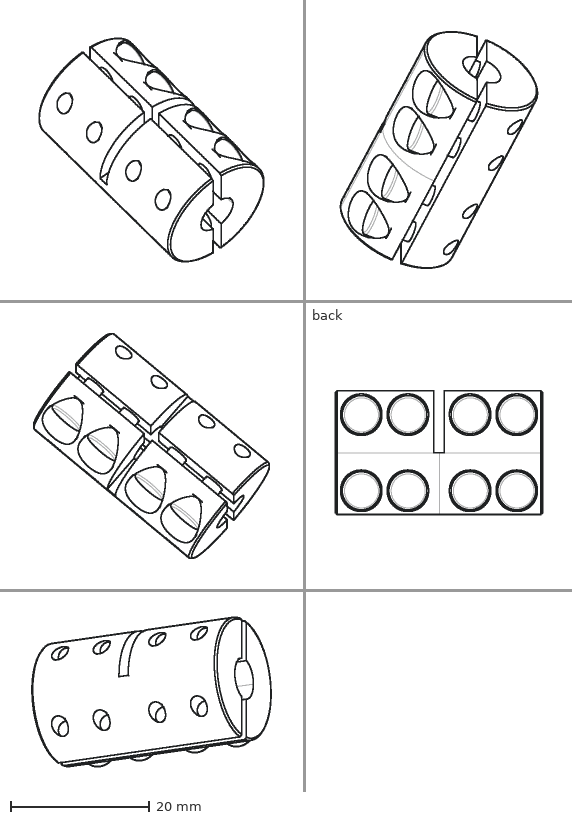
import cadquery as cq


LENGTH = 30.0
OUTER_RADIUS = 9.0
BORE_RADIUS = 3.0
END_CHAMFER = 0.3
SPLIT_GAP = 1.5
CROSS_SLOT_WIDTH = 1.5

SCREW_X_INNER = 4.5
SCREW_X_OUTER = 11.25
SCREW_ROW_SPACING = 11.0
SCREW_Z = SCREW_ROW_SPACING / 2
SHANK_RADIUS = 1.5
SHANK_LENGTH = 8.0
HEAD_RADIUS = 2.75
HEAD_HEIGHT = 3.0
HEAD_FILLET = 0.3

SEAT_Y = 2.9
COUNTERBORE_RADIUS = 3.0
TAP_HOLE_RADIUS = 1.25

SHANK_TIP_Y = SEAT_Y - SHANK_LENGTH

screw_positions = [
    (x, z)
    for x in (-SCREW_X_OUTER, -SCREW_X_INNER, SCREW_X_INNER, SCREW_X_OUTER)
    for z in (-SCREW_Z, SCREW_Z)
]


def rod_along_y(x, z, radius, y_start, y_end):
    """A round rod parallel to Y between two Y planes."""
    return cq.Workplane(cq.Solid.makeCylinder(
        radius, y_end - y_start, cq.Vector(x, y_start, z), cq.Vector(0, 1, 0)
    ))


def make_coupling_blank():
    """The bored and chamfered cylinder with its cross slot, before it is split."""
    blank = (
        cq.Workplane("YZ")
        .circle(OUTER_RADIUS)
        .extrude(LENGTH / 2, both=True)
        .faces("<X or >X")
        .chamfer(END_CHAMFER)
    )
    bore = cq.Workplane("YZ").circle(BORE_RADIUS).extrude(LENGTH / 2, both=True)
    cross_slot = cq.Workplane("XY").rect(CROSS_SLOT_WIDTH, 2 * OUTER_RADIUS).extrude(OUTER_RADIUS)
    return blank.cut(bore).cut(cross_slot)


def half_of_blank(side):
    """The part of the blank beyond the split gap; side is +1 for +Y and -1 for -Y."""
    keep_depth = OUTER_RADIUS - SPLIT_GAP / 2
    keep_centre_y = side * (SPLIT_GAP / 2 + keep_depth / 2)
    keep_box = cq.Workplane("XY").box(LENGTH, keep_depth, 2 * OUTER_RADIUS)
    return make_coupling_blank().intersect(keep_box.translate((0, keep_centre_y, 0)))


def make_head_half():
    """The +Y half, with a counterbored clearance hole for each screw."""
    half = half_of_blank(1)
    for x, z in screw_positions:
        half = half.cut(rod_along_y(x, z, SHANK_RADIUS, 0, SEAT_Y))
        half = half.cut(rod_along_y(x, z, COUNTERBORE_RADIUS, SEAT_Y, OUTER_RADIUS))
    return half


def make_threaded_half():
    """The -Y half, with a hole that fits each shank and narrows beyond its tip."""
    half = half_of_blank(-1)
    for x, z in screw_positions:
        half = half.cut(rod_along_y(x, z, SHANK_RADIUS, SHANK_TIP_Y, 0))
        half = half.cut(rod_along_y(x, z, TAP_HOLE_RADIUS, -OUTER_RADIUS, SHANK_TIP_Y))
    return half


def make_screw(x, z):
    """A cap screw whose head bears on the seat plane and whose shank points toward -Y."""
    head = rod_along_y(x, z, HEAD_RADIUS, SEAT_Y, SEAT_Y + HEAD_HEIGHT)
    head = head.faces(">Y").fillet(HEAD_FILLET)
    return head.union(rod_along_y(x, z, SHANK_RADIUS, SHANK_TIP_Y, SEAT_Y))


head_half = make_head_half()
threaded_half = make_threaded_half()
screws = [make_screw(x, z) for x, z in screw_positions]

result = cq.Compound.makeCompound(
    [head_half.val(), threaded_half.val(), *[screw.val() for screw in screws]]
)